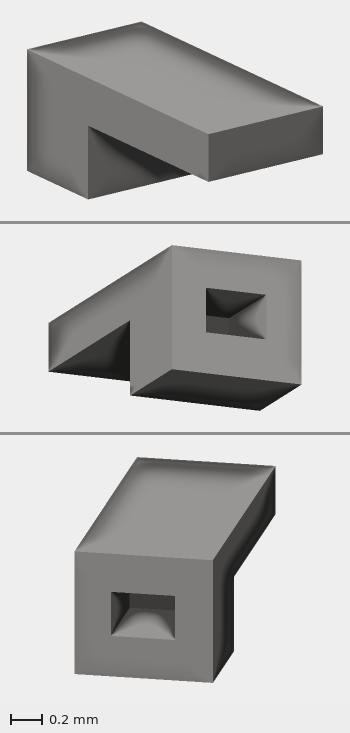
import cadquery as cq

length = 2.0
width = 0.91
height = 0.83

arm_thickness = 0.325
leg_length = 0.675

pocket_width = 0.422
pocket_height = 0.298
pocket_depth = 0.6
pocket_floor_z = 0.275
pocket_center_y = 0.005


def make_body():
    """L-shaped block, centred on Y, standing on Z = 0 with its leg at X = 0."""
    arm = cq.Workplane("XY").box(length, width, arm_thickness, centered=(False, True, False))
    arm = arm.translate((0, 0, height - arm_thickness))
    leg = cq.Workplane("XY").box(leg_length, width, height, centered=(False, True, False))
    return arm.union(leg)


def make_pocket():
    """Rectangular cutter that opens on the -X face."""
    cutter = cq.Workplane("XY").box(
        pocket_depth, pocket_width, pocket_height, centered=(False, True, False)
    )
    return cutter.translate((0, pocket_center_y, pocket_floor_z))


result = make_body().cut(make_pocket())